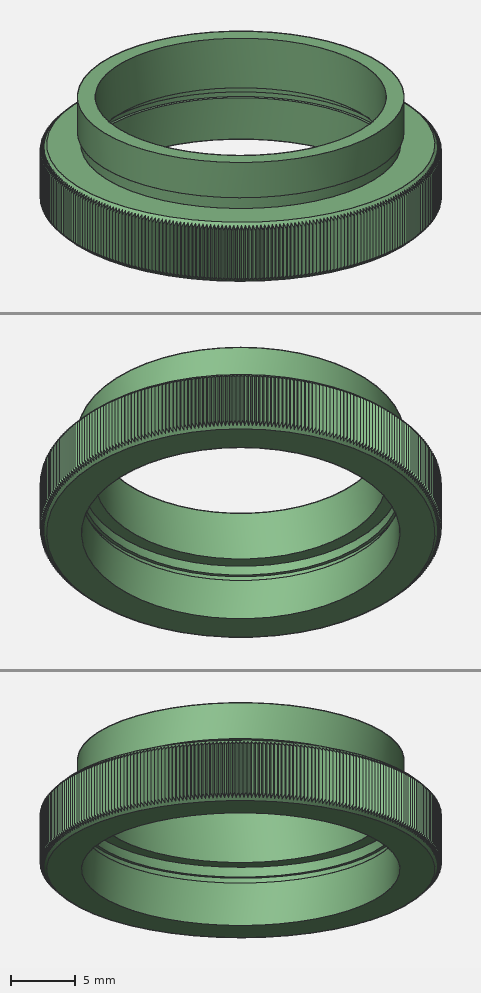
import cadquery as cq
import math

outer_diameter = 31.0
total_height = 9.0

flange_height = 5.0
flange_chamfer = 0.5
knurl_count = 320
knurl_depth = 0.3

collar_diameter = 25.25
neck_diameter = 24.75
neck_height = 1.02

upper_bore_diameter = 22.5
lower_bore_diameter = 24.6
lower_bore_depth = 4.8
groove_diameter = 25.1
groove_bottom = 3.5
groove_width = 0.5


def cylinder(diameter, bottom, top):
    return cq.Workplane("XY").workplane(offset=bottom).circle(diameter / 2).extrude(top - bottom)


def knurled_prism():
    """Vertical prism with a ring of straight V-shaped teeth."""
    tip_radius = outer_diameter / 2
    points = []
    for step in range(2 * knurl_count):
        angle = math.pi * step / knurl_count
        radius = tip_radius if step % 2 == 1 else tip_radius - knurl_depth
        points.append((radius * math.cos(angle), radius * math.sin(angle)))
    return cq.Workplane("XY").polyline(points).close().extrude(flange_height)


def knurled_flange():
    """Knurled disc trimmed by a chamfer around both rims."""
    envelope = cylinder(outer_diameter, 0, flange_height).edges().chamfer(flange_chamfer)
    return knurled_prism().intersect(envelope)


def spigot():
    """Plain collar on a slightly narrower neck, solid until the bore is cut."""
    neck_top = flange_height + neck_height
    neck = cylinder(neck_diameter, 0, neck_top)
    collar = cylinder(collar_diameter, neck_top, total_height)
    return neck.union(collar)


def stepped_bore():
    """Through bore with a wider lower part and a shallow groove around the wall of that part."""
    upper_bore = cylinder(upper_bore_diameter, 0, total_height)
    lower_bore = cylinder(lower_bore_diameter, 0, lower_bore_depth)
    groove = cylinder(groove_diameter, groove_bottom, groove_bottom + groove_width)
    return upper_bore.union(lower_bore).union(groove)


result = knurled_flange().union(spigot()).cut(stepped_bore())